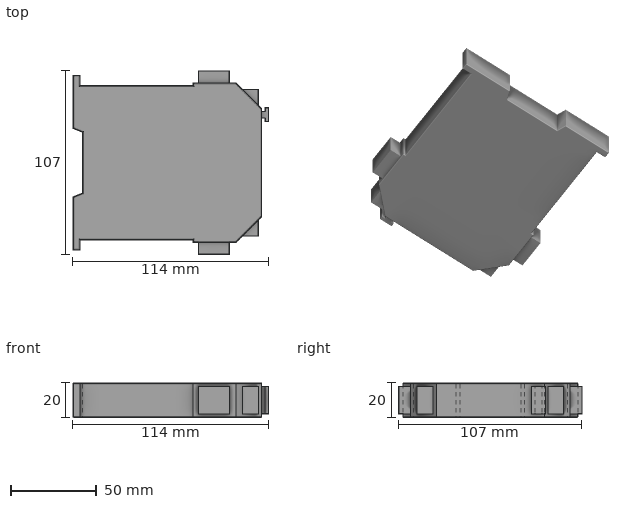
import cadquery as cq

case_length = 110.0
case_thickness = 20.0
edge_radius = 0.5

foot_half_width = 51.0
body_half_width = 45.0
head_half_width = 46.5

foot_thickness = 4.0
head_start_x = 70.0
corner_cut = 15.0

recess_depth = 5.5
recess_mouth_half_width = 20.0
recess_floor_half_width = 17.8

insert_setback = 2.0
insert_height = case_thickness - 2 * insert_setback

side_terminal_start_x = 73.0
side_terminal_length = 18.2
side_terminal_outer_y = 53.5

corner_terminal_end_x = 108.0
corner_terminal_outer_y = 42.8

latch_center_y = 28.0
latch_stem_width = 4.0
latch_stem_length = 2.0
latch_head_width = 8.2
latch_head_length = 2.0


def make_case():
    half_outline = [
        (recess_depth, recess_floor_half_width),
        (0, recess_mouth_half_width),
        (0, foot_half_width),
        (foot_thickness, foot_half_width),
        (foot_thickness, body_half_width),
        (head_start_x, body_half_width),
        (head_start_x, head_half_width),
        (case_length - corner_cut, head_half_width),
        (case_length, head_half_width - corner_cut),
    ]
    mirrored_half = [(x, -y) for x, y in reversed(half_outline)]
    case = cq.Workplane("XY").polyline(half_outline + mirrored_half).close().extrude(case_thickness)
    return case.faces("<Z or >Z").edges().fillet(edge_radius)


def make_insert(x_start, x_end, y_start, y_end):
    """Box between the given X and Y limits, centred in the case thickness."""
    return (
        cq.Workplane("XY")
        .box(x_end - x_start, y_end - y_start, insert_height, centered=False)
        .translate((x_start, y_start, insert_setback))
    )


def make_side_terminal():
    side_terminal_end_x = side_terminal_start_x + side_terminal_length
    return make_insert(side_terminal_start_x, side_terminal_end_x, 0, side_terminal_outer_y)


def make_corner_terminal():
    inner_x = case_length - corner_cut
    inner_y = head_half_width - corner_cut
    return make_insert(inner_x, corner_terminal_end_x, inner_y, corner_terminal_outer_y)


def make_latch():
    stem_end_x = case_length + latch_stem_length
    head_end_x = stem_end_x + latch_head_length
    stem_half = latch_stem_width / 2
    head_half = latch_head_width / 2
    stem_root_x = case_length - edge_radius
    stem = make_insert(stem_root_x, stem_end_x, latch_center_y - stem_half, latch_center_y + stem_half)
    head = make_insert(stem_end_x, head_end_x, latch_center_y - head_half, latch_center_y + head_half)
    return stem.union(head)


result = make_case().union(make_latch())
for terminal in (make_side_terminal(), make_corner_terminal()):
    result = result.union(terminal).union(terminal.mirror("XZ"))